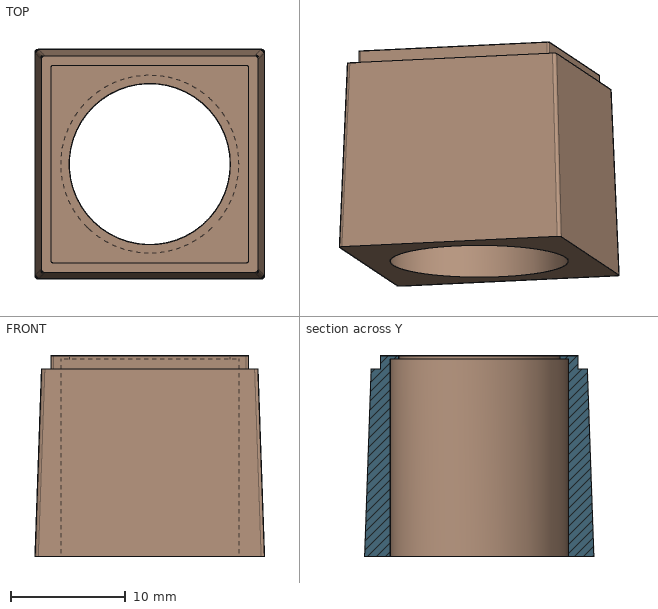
import cadquery as cq
import math

base_side = 20.0
total_height = 17.5

lip_height = 1.15
body_height = total_height - lip_height
draft_angle = 2.0
body_corner_radius = 0.3

lip_side = 17.2
lip_corner_radius = 0.2

opening_diameter = 14.0
bore_diameter = 15.5
rim_thickness = 0.3


def tapered_body():
    """Square frustum with its four sloping edges rounded."""
    top_side = base_side - 2 * body_height * math.tan(math.radians(draft_angle))
    frustum = (
        cq.Workplane("XY")
        .rect(base_side, base_side)
        .workplane(offset=body_height)
        .rect(top_side, top_side)
        .loft(ruled=True)
    )
    return frustum.edges("not(#Z)").fillet(body_corner_radius)


def square_lip():
    """Straight-sided square step on top of the body."""
    return (
        cq.Workplane("XY", origin=(0, 0, body_height))
        .rect(lip_side, lip_side)
        .extrude(lip_height)
        .edges("|Z")
        .fillet(lip_corner_radius)
    )


def stepped_bore():
    """Through bore, narrowed to the opening diameter at the rim."""
    bore = cq.Workplane("XY").circle(bore_diameter / 2).extrude(total_height - rim_thickness)
    opening = cq.Workplane("XY").circle(opening_diameter / 2).extrude(total_height)
    return bore.union(opening)


result = tapered_body().union(square_lip()).cut(stepped_bore())